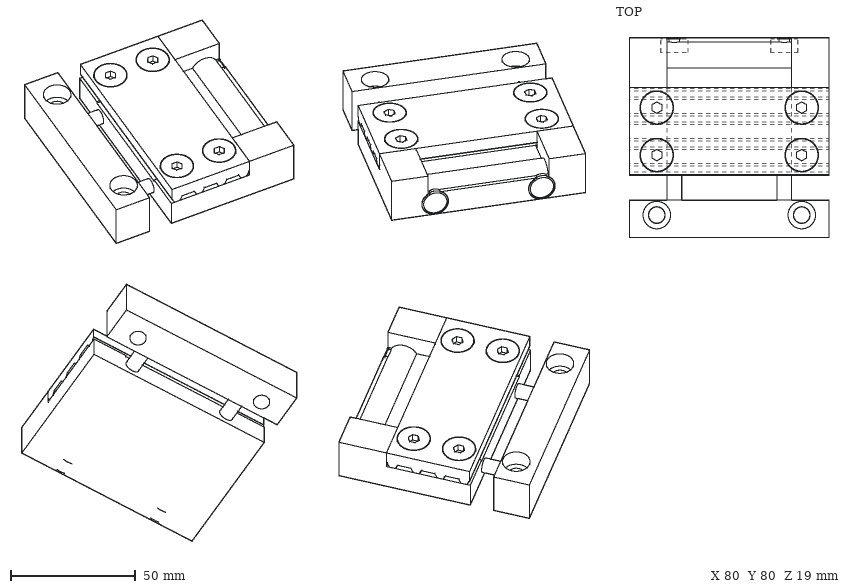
import cadquery as cq
import math


width = 80.0
length = 80.0
height = 19.0
back_y = length / 2
front_y = -length / 2

base_front_y = -15.2
base_top_z = 11.3
cheek_length = 20.0
cheek_front_y = back_y - cheek_length
belt_width = 50.0
belt_floor_z = 10.55

roller_diameter = 12.0
roller_y = 33.1
roller_z = 7.6

rod_diameter = 6.0
rod_x = (belt_width - rod_diameter) / 2
rod_z = 5.5
screw_head_diameter = 10.8
screw_head_length = 6.0
screw_pocket_diameter = 10.9
screw_head_chamfer = 0.6

bar_depth = 15.0
bar_back_y = front_y + bar_depth
bar_hole_x = 29.0
bar_hole_y = -31.0
bar_hole_diameter = 6.5
bar_counterbore_diameter = 11.0
bar_counterbore_depth = 7.0

plate_length = 34.9
plate_front_y = cheek_front_y - plate_length
tooth_pitch = 10.0
tooth_height = 2.1
flank_angle = 25.0
tooth_gap_mouth = 7.45
tooth_gap_root = tooth_gap_mouth - 2 * tooth_height * math.tan(math.radians(flank_angle))
first_gap_y = 22.45
gap_count = 5

clamp_screw_x = 29.0
clamp_screw_ys = (12.0, -7.0)
clamp_head_diameter = 13.0
clamp_recess_diameter = 13.4
clamp_recess_depth = 4.0
hex_across_flats = 4.0
hex_depth = 3.0
quarter_turn = 90


def block(x_size, y_min, y_max, z_min, z_max):
    """Box centred on X = 0 between the given Y and Z limits."""
    box = cq.Workplane("XY").box(x_size, y_max - y_min, z_max - z_min, centered=(True, False, False))
    return box.translate((0, y_min, z_min))


def make_tension_screw(x):
    """Rod along Y from the bar to the back of the base, ending in a chamfered head."""
    rod = cq.Workplane("XZ", origin=(x, back_y, rod_z)).circle(rod_diameter / 2).extrude(back_y - bar_back_y)
    head = (
        cq.Workplane("XZ", origin=(x, back_y, rod_z))
        .circle(screw_head_diameter / 2)
        .extrude(screw_head_length)
        .faces(">Y")
        .chamfer(screw_head_chamfer)
    )
    return rod.union(head)


def screw_pocket(x):
    """Pocket in the back of the base that leaves a narrow gap around a tension screw head."""
    return (
        cq.Workplane("XZ", origin=(x, back_y, rod_z))
        .circle(screw_pocket_diameter / 2)
        .extrude(screw_head_length)
    )


def make_bar():
    """Mounting bar with two counterbored holes."""
    return (
        block(width, front_y, bar_back_y, 0, height)
        .faces(">Z")
        .workplane(origin=(0, 0, height))
        .pushPoints([(-bar_hole_x, bar_hole_y), (bar_hole_x, bar_hole_y)])
        .cboreHole(bar_hole_diameter, bar_counterbore_diameter, bar_counterbore_depth)
    )


def make_base():
    """Base with cheeks, belt channel and roller, joined to the bar by the tension screws."""
    base = block(width, base_front_y, back_y, 0, base_top_z)
    base = base.union(block(width, cheek_front_y, back_y, 0, height))
    base = base.cut(block(belt_width, base_front_y, back_y, belt_floor_z, height))
    roller = (
        cq.Workplane("YZ", origin=(-belt_width / 2, 0, 0))
        .center(roller_y, roller_z)
        .circle(roller_diameter / 2)
        .extrude(belt_width)
    )
    base = base.union(roller).union(make_bar())
    for x in (-rod_x, rod_x):
        base = base.cut(screw_pocket(x)).union(make_tension_screw(x))
    return base


def tooth_gap(center_y):
    """Tapered gap between two belt teeth, running across the plate."""
    return (
        cq.Workplane("YZ", origin=(-width / 2, 0, 0))
        .polyline([
            (center_y - tooth_gap_mouth / 2, base_top_z),
            (center_y + tooth_gap_mouth / 2, base_top_z),
            (center_y + tooth_gap_root / 2, base_top_z + tooth_height),
            (center_y - tooth_gap_root / 2, base_top_z + tooth_height),
        ])
        .close()
        .extrude(width)
    )


def clamp_screw_cut(x, y):
    """Ring gap around a clamp screw head, and its hex socket with corners along Y."""
    top = cq.Workplane("XY", origin=(x, y, height))
    ring = top.circle(clamp_recess_diameter / 2).circle(clamp_head_diameter / 2).extrude(-clamp_recess_depth)
    hex_across_corners = hex_across_flats / math.cos(math.pi / 6)
    socket = top.transformed(rotate=(0, 0, quarter_turn)).polygon(6, hex_across_corners).extrude(-hex_depth)
    return ring.union(socket)


def make_clamp_plate():
    """Flat plate, toothed underneath, with four clamp screw heads flush with its top."""
    plate = block(width, plate_front_y, cheek_front_y, base_top_z, height)
    for index in range(gap_count):
        plate = plate.cut(tooth_gap(first_gap_y - index * tooth_pitch))
    for x in (-clamp_screw_x, clamp_screw_x):
        for y in clamp_screw_ys:
            plate = plate.cut(clamp_screw_cut(x, y))
    return plate


base = make_base()
clamp_plate = make_clamp_plate()

result = cq.Compound.makeCompound([base.val(), clamp_plate.val()])